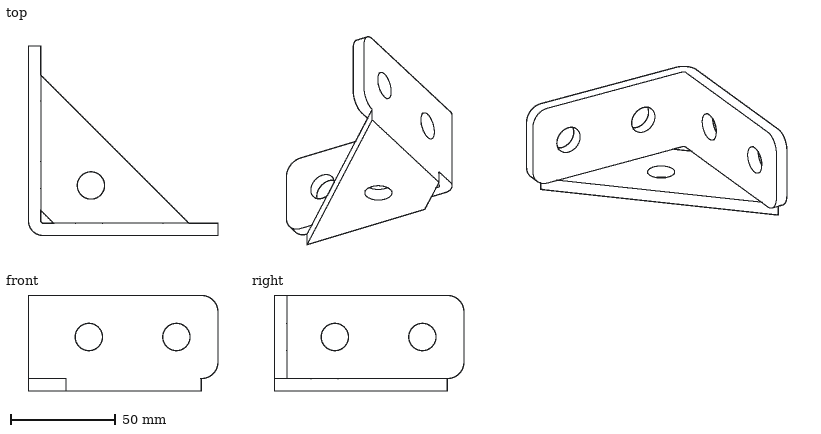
import cadquery as cq

leg_length = 91.0
wall_height = 40.0
thickness = 6.0

bend_outer_radius = 7.0
bend_inner_radius = bend_outer_radius - thickness

corner_radius = 8.0

base_leg = leg_length - corner_radius
relief_leg = 18.0

hole_diameter = 13.0
wall_hole_offsets = (29.0, 71.0)
wall_hole_z = thickness + wall_height / 2
base_hole_x = 30.0
base_hole_y = 24.05


def make_walls():
    """Two upright walls joined by a bend along Z, with rounded free corners."""
    walls = (
        cq.Workplane("XY")
        .workplane(offset=thickness)
        .polyline(
            [
                (0, 0),
                (leg_length, 0),
                (leg_length, thickness),
                (thickness, thickness),
                (thickness, leg_length),
                (0, leg_length),
            ]
        )
        .close()
        .extrude(wall_height)
    )
    inner_corner = cq.selectors.NearestToPointSelector((thickness, thickness, wall_hole_z))
    outer_corner = cq.selectors.NearestToPointSelector((0, 0, wall_hole_z))
    walls = walls.edges(inner_corner).fillet(bend_inner_radius)
    walls = walls.edges(outer_corner).fillet(bend_outer_radius)
    walls = walls.faces(">X").edges("|Y").fillet(corner_radius)
    return walls.faces(">Y").edges("|X").fillet(corner_radius)


def make_base():
    """Flat plate between the walls, cut back at the bend by a 45-degree relief."""
    return (
        cq.Workplane("XY")
        .polyline([(relief_leg, 0), (base_leg, 0), (0, base_leg), (0, relief_leg)])
        .close()
        .extrude(thickness)
    )


def drill(body, position, direction):
    """Cut a hole through one sheet thickness, starting at its outer face."""
    hole = cq.Solid.makeCylinder(
        hole_diameter / 2, thickness, cq.Vector(*position), cq.Vector(*direction)
    )
    return body.cut(cq.Workplane(obj=hole))


result = make_walls().union(make_base())
for offset in wall_hole_offsets:
    result = drill(result, (offset, 0, wall_hole_z), (0, 1, 0))
    result = drill(result, (0, offset, wall_hole_z), (1, 0, 0))
result = drill(result, (base_hole_x, base_hole_y, 0), (0, 0, 1))